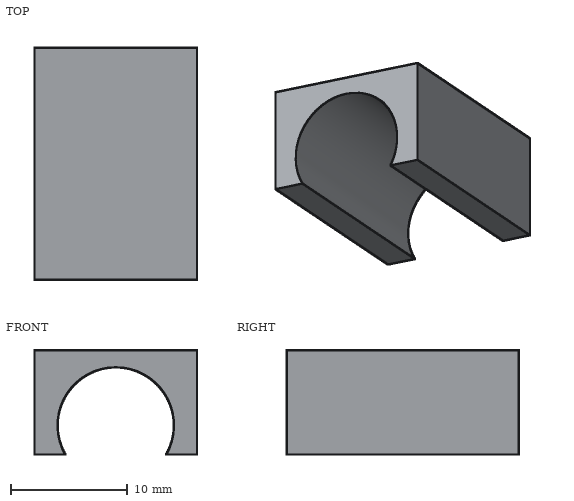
import cadquery as cq

width = 14.0
length = 20.0
height = 9.0

bore_diameter = 10.0
top_wall = 1.5
bore_radius = bore_diameter / 2
bore_center_z = height - top_wall - bore_radius


def make_block():
    """Plain rectangular body of the clip."""
    return cq.Workplane("XY").box(width, length, height, centered=(True, True, False))


def make_bore():
    """Cylinder along Y whose lower part leaves the block, forming a snap-in opening."""
    return (
        cq.Workplane("XZ")
        .center(0, bore_center_z)
        .circle(bore_radius)
        .extrude(length / 2, both=True)
    )


result = make_block().cut(make_bore())